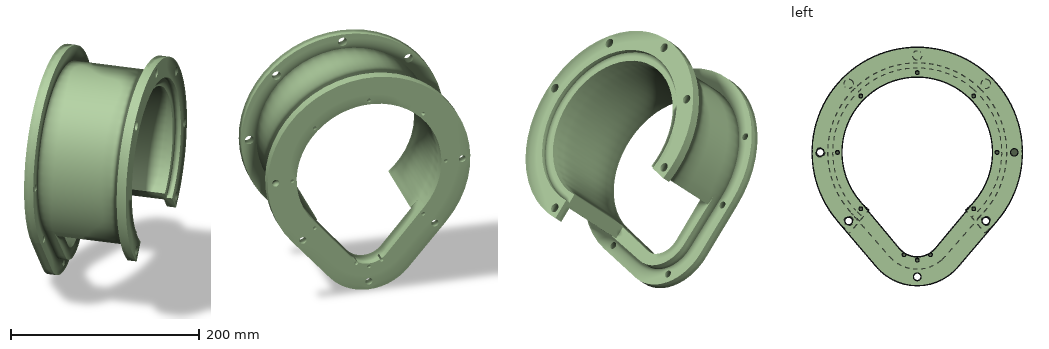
import cadquery as cq
import math

LENGTH = 113.0
FLANGE_THICKNESS = 10.2
COLLAR_END = 20.5

FLANGE_RADIUS = 112.0
DRUM_RADIUS = 95.2
BORE_RADIUS = 80.0

TIP_DROP = 85.0
FLANGE_TIP_RADIUS = 57.0
COLLAR_TIP_RADIUS = 39.0
BORE_TIP_RADIUS = 25.0
BORE_TIP_DROP = 86.0

END_ANGLE = 50

REAR_RECESS_RADIUS = 90.0
REAR_RECESS_DEPTH = 6.0

BOLT_CIRCLE_RADIUS = 103.0
FRONT_BOLT_DIAMETER = 8.0
FRONT_BOLT_ANGLES = (0, 180, 225, 315)
TIP_BOLT_DROP = 132.3
REAR_BOLT_DIAMETER = 10.0
REAR_BOLT_ANGLES = (0, 45, 90, 135, 225, 315)

SCREW_DIAMETER = 4.0
SCREW_DEPTH = 10.2
SCREW_CIRCLE_RADIUS = 84.8
SCREW_ANGLES = range(-45, 226, 45)
TIP_SCREW_CIRCLE_RADIUS = 19.8
TIP_SCREW_CIRCLE_DROP = 94.7
TIP_SCREW_ANGLES = (225, 270, 315)
DRILL_POINT_ANGLE = 118


def plane_at(x):
    """Workplane across the drum axis: local x is +Y, local y is +Z, extrusion goes to +X."""
    return cq.Workplane("YZ", origin=(x, 0, 0))


def polar(radius, angle, drop=0.0):
    """Point on a circle whose centre lies `drop` below the drum axis."""
    a = math.radians(angle)
    return (radius * math.cos(a), radius * math.sin(a) - drop)


def disc(start, end, radius, drop=0.0):
    """Cylinder along X whose axis lies `drop` below the drum axis."""
    return plane_at(start).center(0, -drop).circle(radius).extrude(end - start)


def teardrop(start, end, radius, tip_radius, tip_drop):
    """Prism around a large circle and a smaller one below it, joined by their tangents."""
    right = -math.degrees(math.asin((radius - tip_radius) / tip_drop))
    left = 180 - right
    flanks = [
        polar(radius, right),
        polar(radius, left),
        polar(tip_radius, left, tip_drop),
        polar(tip_radius, right, tip_drop),
    ]
    web = plane_at(start).polyline(flanks).close().extrude(end - start)
    return disc(start, end, radius).union(web).union(disc(start, end, tip_radius, tip_drop))


def end_wedge(start, end):
    """Sector below the drum axis, between the two radial end cuts."""
    reach = 2 * FLANGE_RADIUS
    corners = [(0, 0), polar(reach, -END_ANGLE), polar(reach, 180 + END_ANGLE)]
    return plane_at(start).polyline(corners).close().extrude(end - start)


def holes(points, diameter, start, depth):
    """Round holes along X at the given (Y, Z) points."""
    return plane_at(start).pushPoints(points).circle(diameter / 2).extrude(depth)


def drilled_holes(points, diameter, depth):
    """Blind holes from the front face, each ending in a drill point."""
    radius = diameter / 2
    point_height = radius / math.tan(math.radians(DRILL_POINT_ANGLE / 2))
    drills = holes(points, diameter, 0, depth)
    for y, z in points:
        tip = cq.Solid.makeCone(radius, 0, point_height, cq.Vector(depth, y, z), cq.Vector(1, 0, 0))
        drills = drills.union(cq.Workplane(tip))
    return drills


rear_flange_start = LENGTH - FLANGE_THICKNESS
drum = disc(0, LENGTH, DRUM_RADIUS).union(disc(rear_flange_start, LENGTH, FLANGE_RADIUS))
drum = drum.cut(end_wedge(COLLAR_END, LENGTH))

front_flange = teardrop(0, FLANGE_THICKNESS, FLANGE_RADIUS, FLANGE_TIP_RADIUS, TIP_DROP)
collar = teardrop(0, COLLAR_END, DRUM_RADIUS, COLLAR_TIP_RADIUS, TIP_DROP)
body = drum.union(collar).union(front_flange)

bore = disc(0, LENGTH, BORE_RADIUS)
opening = teardrop(0, COLLAR_END, BORE_RADIUS, BORE_TIP_RADIUS, BORE_TIP_DROP)
rear_recess = disc(LENGTH - REAR_RECESS_DEPTH, LENGTH, REAR_RECESS_RADIUS)
body = body.cut(bore).cut(opening).cut(rear_recess)

front_bolts = [polar(BOLT_CIRCLE_RADIUS, angle) for angle in FRONT_BOLT_ANGLES]
front_bolts.append((0, -TIP_BOLT_DROP))
rear_bolts = [polar(BOLT_CIRCLE_RADIUS, angle) for angle in REAR_BOLT_ANGLES]
body = body.cut(holes(front_bolts, FRONT_BOLT_DIAMETER, 0, FLANGE_THICKNESS))
body = body.cut(holes(rear_bolts, REAR_BOLT_DIAMETER, rear_flange_start, FLANGE_THICKNESS))

screws = [polar(SCREW_CIRCLE_RADIUS, angle) for angle in SCREW_ANGLES]
screws += [
    polar(TIP_SCREW_CIRCLE_RADIUS, angle, TIP_SCREW_CIRCLE_DROP) for angle in TIP_SCREW_ANGLES
]
result = body.cut(drilled_holes(screws, SCREW_DIAMETER, SCREW_DEPTH))